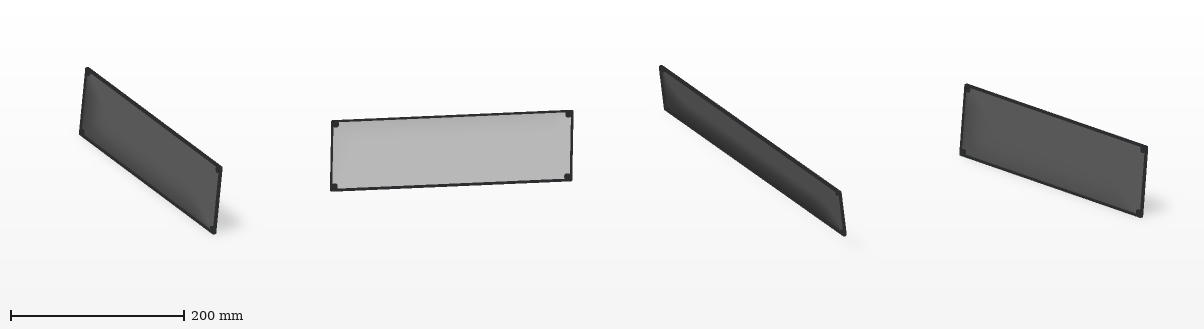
import cadquery as cq

length = 281.3
height = 84.7
thickness = 2.0
corner_radius = 1.0
front_edge_chamfer = 0.3
lean_angle = 6.0

hole_diameter = 2.5
countersink_diameter = 5.0
countersink_angle = 90.0
hole_inset = 4.2


def make_plate():
    """Upright plate, centred on the origin, with rounded corners and a chamfered front rim."""
    plate = cq.Workplane("XY").box(length, thickness, height)
    plate = plate.edges("|Y").fillet(corner_radius)
    return plate.faces("<Y").edges().chamfer(front_edge_chamfer)


def cut_screw_holes(plate):
    """Cut one countersunk through hole near each corner."""
    return (
        plate.faces("<Y")
        .workplane(centerOption="CenterOfBoundBox")
        .rect(length - 2 * hole_inset, height - 2 * hole_inset, forConstruction=True)
        .vertices()
        .cskHole(hole_diameter, countersink_diameter, countersink_angle)
    )


upright_plate = cut_screw_holes(make_plate())
result = upright_plate.rotate((0, 0, 0), (1, 0, 0), -lean_angle)